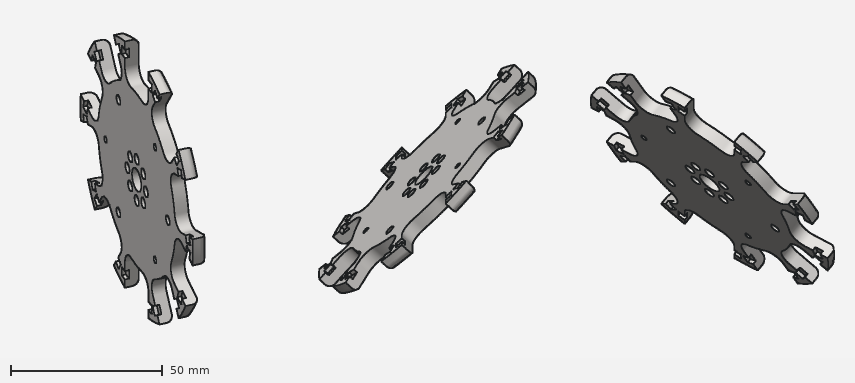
import cadquery as cq
import math

outer_radius = 49.0
disc_radius = 33.5
thickness = 5.0
slot_count = 10
slot_half_width = 10.2
slot_corner_radius = 4.8
rim_round_radius = thickness / 2

bore_diameter = 8.1
counterbore_diameter = 11.2
counterbore_depth = 1.5
hub_hole_count = 8
hub_hole_diameter = 3.7
hub_hole_circle_radius = 8.0
mount_hole_circle_radius = 27.0
large_mount_diameter = 3.3
small_mount_diameter = 2.3

notch_inner_distance = 41.4
notch_length = 3.2
notch_depth_into_tooth = 2.7
notch_height = 1.5

front_y = -thickness / 2
slot_pitch = 360 / slot_count

mount_spread = 3.5 * slot_pitch
hub_hole_angles = [index * 360 / hub_hole_count for index in range(hub_hole_count)]
large_mount_angles = [0, mount_spread, -mount_spread]
small_mount_angles = [180 - angle for angle in large_mount_angles]


def turned(shape, angle):
    """Copy of a shape turned about the wheel axis."""
    return shape.rotate((0, 0, 0), (0, 1, 0), angle)


def front_plane():
    """XZ plane on the front face; extruding by a negative length goes towards +Y."""
    return cq.Workplane("XZ", origin=(0, front_y, 0))


def make_blank():
    """Full round plate with its back rim rounded over from mid thickness."""
    plate = front_plane().circle(outer_radius).extrude(-thickness)
    return plate.faces(">Y").edges().fillet(rim_round_radius)


def make_slot():
    """Open slot at +Z: parallel walls, a floor on the disc circle and rounded corners."""
    corner_x = slot_half_width - slot_corner_radius
    corner_reach = disc_radius + slot_corner_radius
    corner_z = math.sqrt(corner_reach**2 - corner_x**2)
    corner_angle = math.atan2(corner_x, corner_z)

    floor_x = disc_radius * math.sin(corner_angle)
    floor_z = disc_radius * math.cos(corner_angle)

    middle_angle = (math.pi / 2 + corner_angle) / 2
    arc_x = corner_x + slot_corner_radius * math.cos(middle_angle)
    arc_z = corner_z - slot_corner_radius * math.sin(middle_angle)

    mouth_z = outer_radius + slot_corner_radius
    return (
        front_plane()
        .moveTo(-slot_half_width, mouth_z)
        .lineTo(-slot_half_width, corner_z)
        .threePointArc((-arc_x, arc_z), (-floor_x, floor_z))
        .threePointArc((0, disc_radius), (floor_x, floor_z))
        .threePointArc((arc_x, arc_z), (slot_half_width, corner_z))
        .lineTo(slot_half_width, mouth_z)
        .close()
        .extrude(-thickness)
    )


def make_notches():
    """Bar across one slot that leaves a shallow square notch in both walls."""
    bar_width = 2 * (slot_half_width + notch_depth_into_tooth)
    return (
        front_plane()
        .center(0, notch_inner_distance + notch_length / 2)
        .rect(bar_width, notch_length)
        .extrude(-notch_height)
    )


def make_bore():
    """Stepped centre bore, wider at the back."""
    through = front_plane().circle(bore_diameter / 2).extrude(-thickness)
    back_plane = front_plane().workplane(offset=-thickness)
    wide = back_plane.circle(counterbore_diameter / 2).extrude(counterbore_depth)
    return through.union(wide)


def drill(body, circle_radius, angles, diameter):
    """Through holes on a circle about the wheel axis, at angles measured from +X towards +Z."""
    centres = []
    for angle in angles:
        turn = math.radians(angle)
        centres.append((circle_radius * math.cos(turn), circle_radius * math.sin(turn)))
    cutter = front_plane().pushPoints(centres).circle(diameter / 2).extrude(-thickness)
    return body.cut(cutter)


result = make_blank()

slot_cutter = make_slot().union(make_notches())
for index in range(slot_count):
    result = result.cut(turned(slot_cutter, index * slot_pitch))

result = result.cut(make_bore())
result = drill(result, hub_hole_circle_radius, hub_hole_angles, hub_hole_diameter)
result = drill(result, mount_hole_circle_radius, large_mount_angles, large_mount_diameter)
result = drill(result, mount_hole_circle_radius, small_mount_angles, small_mount_diameter)